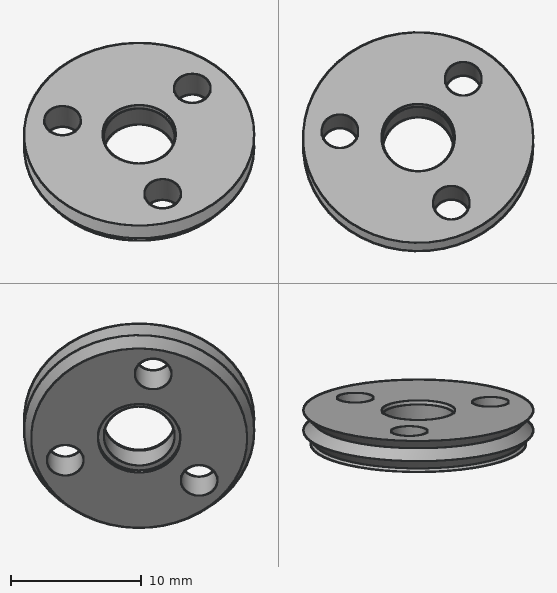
import cadquery as cq

outer_diameter = 17.6
thickness = 2.62
neck_diameter = 16.0
foot_diameter = 16.5

bore_diameter = 5.4
bore_flare_width = 0.1
bore_flare_height = 0.3
recess_diameter = 6.3
recess_depth = 0.3

hole_count = 3
hole_diameter = 2.8
hole_circle_radius = 6.0
first_hole_angle = 90.0

outer_radius = outer_diameter / 2
neck_radius = neck_diameter / 2
groove_depth = outer_radius - neck_radius
foot_radius = foot_diameter / 2
upper_neck_z = thickness - groove_depth
rim_z = upper_neck_z - groove_depth
lower_neck_z = rim_z - groove_depth


def make_disc():
    """Revolve the grooved half section about Z."""
    return (
        cq.Workplane("XZ")
        .moveTo(0, 0)
        .lineTo(foot_radius, 0)
        .lineTo(neck_radius, lower_neck_z)
        .lineTo(outer_radius, rim_z)
        .lineTo(neck_radius, upper_neck_z)
        .lineTo(outer_radius, thickness)
        .lineTo(0, thickness)
        .close()
        .revolve(360, (0, 0, 0), (0, 1, 0))
    )


def make_bore():
    """Cutter for the bore, with a steep flare at the top and a shallow recess at the bottom."""
    bore_radius = bore_diameter / 2
    recess_radius = recess_diameter / 2
    return (
        cq.Workplane("XZ")
        .moveTo(0, 0)
        .lineTo(recess_radius, 0)
        .lineTo(recess_radius, recess_depth)
        .lineTo(bore_radius, recess_depth)
        .lineTo(bore_radius, thickness - bore_flare_height)
        .lineTo(bore_radius + bore_flare_width, thickness)
        .lineTo(0, thickness)
        .close()
        .revolve(360, (0, 0, 0), (0, 1, 0))
    )


def make_holes():
    """Cutters for the evenly spaced through holes."""
    return (
        cq.Workplane("XY")
        .polarArray(hole_circle_radius, first_hole_angle, 360, hole_count)
        .circle(hole_diameter / 2)
        .extrude(thickness)
    )


result = make_disc().cut(make_bore()).cut(make_holes())